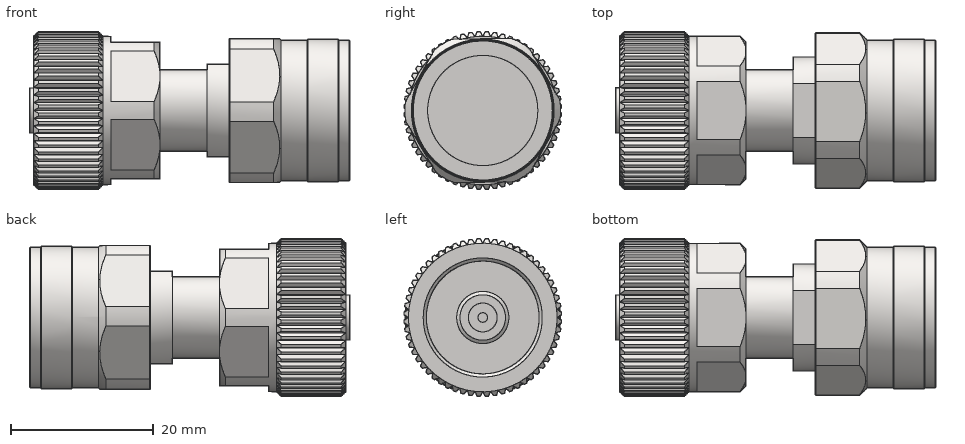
import cadquery as cq
import math

TOTAL_LENGTH = 44.9

KNURL_START = 0.6
KNURL_END = 10.3
KNURL_RADIUS = 11.07
GROOVE_COUNT = 60
GROOVE_DEPTH = 0.65
GROOVE_ANGLE = 60

REAR_HEX_START = 11.4
REAR_HEX_END = 18.27
REAR_HEX_FLATS = 19.15
REAR_HEX_RADIUS = 10.4
REAR_HEX_CHAMFER = 0.8
KNURL_CHAMFER = KNURL_RADIUS - REAR_HEX_RADIUS

BARREL_RADIUS = 5.725
COLLAR_START = 24.87
COLLAR_RADIUS = 7.52
COLLAR_FLATS = 13.0
SHANK_RADIUS = 7.72

SOCKET_RADIUS = 7.9
SOCKET_STEP = 0.45
MOUTH_DEPTH = 0.75
SOCKET_FLOOR = 6.3
SOCKET_THREAD_START = 2.4
SOCKET_THREAD_PITCH = 1.35
SOCKET_THREAD_DEPTH = 0.75
SOCKET_THREAD_CREST = 0.3
THREAD_OVERLAP = 0.1

TIP_RADIUS = 3.2
PLUG_RADIUS = 3.66
PLUG_ROOT_RADIUS = 3.05
PLUG_THREAD_START = 1.4
PLUG_CREST = 0.15
PLUG_PITCH = 0.875
PLUG_TURNS = 4
PLUG_BORE_RADIUS = 2.0
PLUG_BORE_DEPTH = 6.75
PIN_HOLE_RADIUS = 0.67
PIN_HOLE_DEPTH = 2.25

COUPLING_START = 27.95
COUPLING_HEX_END = 35.25
COUPLING_HEX_FLATS = 20.1
COUPLING_HEX_RADIUS = 10.9
COUPLING_EDGE_CHAMFER = 0.15
COUPLING_TURN = 0.8
SLEEVE_RADIUS = 9.9
BAND_RADIUS = 10.0
BAND_START = 38.9
BAND_END = 43.37
BAND_CHAMFER = BAND_RADIUS - SLEEVE_RADIUS
GAP_RADIUS = 8.25
GAP_DEPTH = 0.67


def turned(points):
    """Revolve a closed (station, radius) outline about the X axis."""
    return cq.Workplane("XY").polyline(points).close().revolve(360, (0, 0, 0), (1, 0, 0))


def cylinder(start, end, radius):
    return cq.Workplane("YZ", origin=(start, 0, 0)).circle(radius).extrude(end - start)


def hexagon(start, end, across_flats):
    """Hexagonal prism along X with flats facing +Z and -Z."""
    across_corners = across_flats / math.cos(math.pi / 6)
    return cq.Workplane("YZ", origin=(start, 0, 0)).polygon(6, across_corners).extrude(end - start)


def knurled_collar():
    blank = cylinder(KNURL_START, KNURL_END, KNURL_RADIUS).edges().chamfer(KNURL_CHAMFER)
    root_radius = KNURL_RADIUS - GROOVE_DEPTH
    top_radius = KNURL_RADIUS + 0.45
    half_width = (top_radius - root_radius) * math.tan(math.radians(GROOVE_ANGLE / 2))
    groove = (
        cq.Workplane("YZ", origin=(KNURL_START, 0, 0))
        .polyline([(0, root_radius), (half_width, top_radius), (-half_width, top_radius)])
        .close()
        .extrude(KNURL_END - KNURL_START)
        .val()
    )
    step = 360 / GROOVE_COUNT
    grooves = [groove.rotate((0, 0, 0), (1, 0, 0), i * step) for i in range(GROOVE_COUNT)]
    return cq.Workplane(blank.val().cut(*grooves))


def rear_hexagon():
    neck = cylinder(KNURL_END, REAR_HEX_START, REAR_HEX_RADIUS)
    blank = cylinder(REAR_HEX_START, REAR_HEX_END, REAR_HEX_RADIUS).faces(">X").chamfer(REAR_HEX_CHAMFER)
    return neck.union(blank.intersect(hexagon(REAR_HEX_START, REAR_HEX_END, REAR_HEX_FLATS)))


def barrel_and_collar():
    barrel = cylinder(REAR_HEX_END, COLLAR_START, BARREL_RADIUS)
    flats = cq.Workplane("XY").box(TOTAL_LENGTH, 2 * COLLAR_RADIUS, COLLAR_FLATS, centered=(False, True, True))
    collar = cylinder(COLLAR_START, COUPLING_START, COLLAR_RADIUS).intersect(flats)
    shank = cylinder(COUPLING_START, TOTAL_LENGTH, SHANK_RADIUS)
    return barrel.union(collar).union(shank)


def socket():
    """Tool for the socket with its wider mouth and the cone behind it."""
    mouth_radius = SOCKET_RADIUS + SOCKET_STEP
    mouth_end = KNURL_START + MOUTH_DEPTH
    return turned([
        (KNURL_START, 0),
        (KNURL_START, mouth_radius),
        (mouth_end, mouth_radius),
        (mouth_end + SOCKET_STEP, SOCKET_RADIUS),
        (SOCKET_FLOOR, SOCKET_RADIUS),
        (SOCKET_FLOOR, 0),
    ])


def socket_thread():
    """Tool for the helical groove in the socket wall, its V reaching a little inside the wall."""
    slope = (SOCKET_THREAD_PITCH - SOCKET_THREAD_CREST) / 2 / SOCKET_THREAD_DEPTH
    half_width = slope * (SOCKET_THREAD_DEPTH + THREAD_OVERLAP)
    thread_length = SOCKET_FLOOR - SOCKET_THREAD_START - half_width - THREAD_OVERLAP
    path = cq.Wire.makeHelix(SOCKET_THREAD_PITCH, thread_length, SOCKET_RADIUS)
    return (
        cq.Workplane("XZ")
        .polyline([
            (SOCKET_RADIUS - THREAD_OVERLAP, -half_width),
            (SOCKET_RADIUS + SOCKET_THREAD_DEPTH, 0),
            (SOCKET_RADIUS - THREAD_OVERLAP, half_width),
        ])
        .close()
        .sweep(cq.Workplane(path), isFrenet=True)
        .rotate((0, 0, 0), (0, 1, 0), 90)
        .translate((SOCKET_THREAD_START, 0, 0))
    )


def plug():
    """Plug with a smooth tip and ring-shaped thread crests."""
    rise = (PLUG_PITCH - PLUG_CREST) / 2
    first_rise = rise * (PLUG_RADIUS - TIP_RADIUS) / (PLUG_RADIUS - PLUG_ROOT_RADIUS)
    outline = [(0, 0), (0, TIP_RADIUS), (PLUG_THREAD_START, TIP_RADIUS)]
    for turn in range(PLUG_TURNS):
        crest = PLUG_THREAD_START + first_rise + turn * PLUG_PITCH
        crest_end = crest + PLUG_CREST
        outline += [(crest, PLUG_RADIUS), (crest_end, PLUG_RADIUS), (crest_end + rise, PLUG_ROOT_RADIUS)]
    outline += [(SOCKET_FLOOR, PLUG_ROOT_RADIUS), (SOCKET_FLOOR, 0)]
    return turned(outline)


def adapter():
    body = knurled_collar().union(rear_hexagon()).union(barrel_and_collar())
    body = body.cut(socket()).cut(socket_thread()).union(plug())
    bore = cylinder(0, PLUG_BORE_DEPTH, PLUG_BORE_RADIUS)
    pin_hole = cylinder(PLUG_BORE_DEPTH, PLUG_BORE_DEPTH + PIN_HOLE_DEPTH, PIN_HOLE_RADIUS)
    return body.cut(bore).cut(pin_hole)


def coupling():
    hex_chamfer = COUPLING_HEX_RADIUS - SLEEVE_RADIUS
    blank = turned([
        (COUPLING_START, 0),
        (COUPLING_START, COUPLING_HEX_RADIUS),
        (COUPLING_HEX_END - hex_chamfer, COUPLING_HEX_RADIUS),
        (COUPLING_HEX_END, SLEEVE_RADIUS),
        (COUPLING_HEX_END, 0),
    ])
    prism = hexagon(COUPLING_START, COUPLING_HEX_END, COUPLING_HEX_FLATS)
    nut = blank.intersect(prism).faces("<X").chamfer(COUPLING_EDGE_CHAMFER)
    nut = nut.rotate((0, 0, 0), (1, 0, 0), COUPLING_TURN)
    sleeve = cylinder(COUPLING_HEX_END, TOTAL_LENGTH, SLEEVE_RADIUS).faces(">X").chamfer(BAND_CHAMFER)
    band = cylinder(BAND_START, BAND_END, BAND_RADIUS).edges().chamfer(BAND_CHAMFER)
    gap = cylinder(COUPLING_START, COUPLING_START + GAP_DEPTH, GAP_RADIUS)
    bore = cylinder(COUPLING_START, TOTAL_LENGTH, SHANK_RADIUS)
    return nut.union(sleeve).union(band).cut(gap).cut(bore)


result = cq.Compound.makeCompound([adapter().val(), coupling().val()])